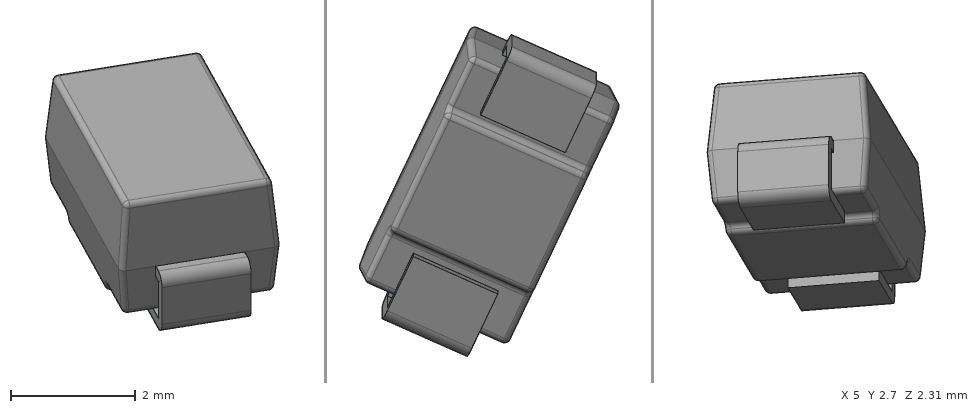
import cadquery as cq
import math

body_length = 4.3
body_width = 2.7
body_top = 2.31
parting_height = 1.1
body_bottom = 0.05
draft_angle = 5.0
edge_radius = 0.1

step_height = 0.21
step_wall_x = 1.1
step_corner_radius = 0.1

overall_length = 5.0
lead_width = 1.5
lead_thickness = 0.2
lead_top = parting_height
lead_bend_radius = 0.2
foot_length = 1.2
lead_embed = 0.2


def upper_body():
    """Half of the body above the parting plane, tapering upward."""
    half = (
        cq.Workplane("XY")
        .workplane(offset=parting_height)
        .rect(body_length, body_width)
        .extrude(body_top - parting_height, taper=draft_angle)
    )
    return half.edges("not <Z").fillet(edge_radius)


def step_cutter(side):
    """Space to remove below one body end, with a rounded inner corner."""
    arc_centre_x = step_wall_x + step_corner_radius
    arc_centre_z = step_height - step_corner_radius
    arc_reach = step_corner_radius * math.sqrt(0.5)
    profile = (
        cq.Workplane("XZ")
        .moveTo(side * body_length, 0)
        .lineTo(side * step_wall_x, 0)
        .lineTo(side * step_wall_x, arc_centre_z)
        .threePointArc(
            (side * (arc_centre_x - arc_reach), arc_centre_z + arc_reach),
            (side * arc_centre_x, step_height),
        )
        .lineTo(side * body_length, step_height)
        .close()
    )
    return profile.extrude(body_width, both=True)


def lower_body():
    """Half of the body below the parting plane, tapering downward to the stepped underside."""
    half = (
        cq.Workplane("XY", origin=(0, 0, parting_height))
        .rect(body_length, body_width)
        .extrude(body_bottom - parting_height, taper=draft_angle)
    )
    for side in (-1, 1):
        half = half.cut(step_cutter(side))
    return half.edges("not >Z").fillet(edge_radius)


def lead(side):
    """Flat strip leaving the body, folded down and back under it."""
    outer_x = overall_length / 2
    inner_x = outer_x - lead_thickness
    foot_end_x = outer_x - foot_length
    root_x = body_length / 2 - lead_embed
    profile_points = [
        (root_x, lead_top),
        (outer_x, lead_top),
        (outer_x, 0),
        (foot_end_x, 0),
        (foot_end_x, lead_thickness),
        (inner_x, lead_thickness),
        (inner_x, lead_top - lead_thickness),
        (root_x, lead_top - lead_thickness),
    ]
    strip = (
        cq.Workplane("XZ")
        .polyline([(side * x, z) for x, z in profile_points])
        .close()
        .extrude(lead_width / 2, both=True)
    )
    outer_face = ">X" if side > 0 else "<X"
    return strip.faces(outer_face).edges("|Y").fillet(lead_bend_radius)


result = upper_body().union(lower_body())
for end in (-1, 1):
    result = result.union(lead(end))